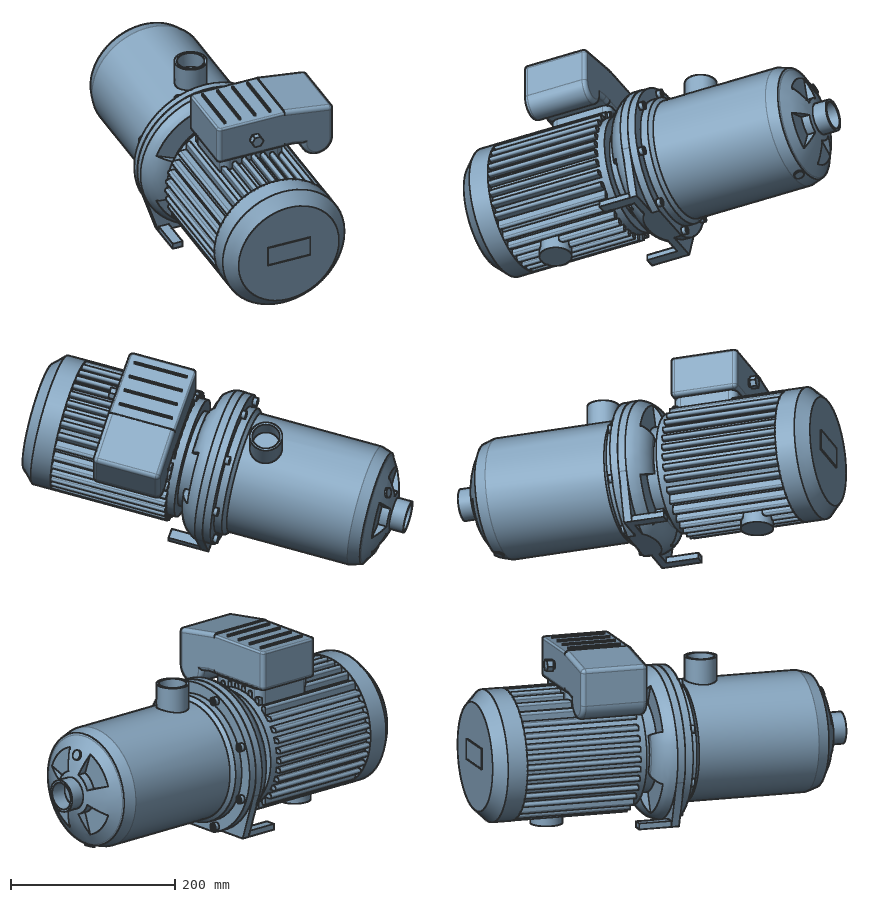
import cadquery as cq
import math


DISH_X = 16.0
DISH_POCKET_X = 30.5
DISH_END_X = 39.0
RIM_X = 39.5
CASING_X = 54.5
COLLAR_X = 208.0
COLLAR_FULL_X = 213.0
FLANGE_X = 223.0
PLATE_X = 232.5
LANTERN_X = 242.5
LANTERN_POCKET_X = 257.0
LANTERN_END_X = 267.2
MOTOR_X = 275.5
FIN_X = 285.0
COVER_X = 431.5
COVER_TAPER_X = 456.5
COVER_END_X = 471.5
TOTAL_LENGTH = 473.0

HUB_R = 27.0
DISH_R = 136.0 / 2
RIM_R = 70.5
CASING_R = 150.0 / 2
COLLAR_R = 160.0 / 2
FLANGE_R = 94.5
PLATE_R = 95.0
LANTERN_END_R = 66.5
NECK_R = 120.0 / 2
MOTOR_CORE_R = 148.0 / 2
MOTOR_R = 163.0 / 2
COVER_END_R = 67.0

DISH_SPHERE_R = 113.5
LANTERN_ARC_POINT = (258.3, 85.0)
DISH_POCKET_ANGLE = 50.0
LANTERN_POCKET_ANGLE = 45.0

PORT_R = 39.5 / 2
PORT_BORE_R = 33.5 / 2
PORT_BORE_DEPTH = 20.0
OUTLET_X = 181.0
OUTLET_TOP_Z = 104.0
PLUG_R = 6.0
PLUG_LENGTH = 7.0
PLUG_RAISE = 2.0
VENT_POINT = (26.0, 47.0)
VENT_TILT = 22.0
DRAIN_POINT = (47.0, -73.0)
DRAIN_TILT = -73.0

BASE_Z = -90.0
FOOT_HALF_WIDTH = 70.5
LEG_WIDTH = 13.2
LEG_THICKNESS = 7.5
LEG_END_X = 284.0
PAD_X = 380.0

FIN_PITCH = 12.45
FIN_WIDTH = 6.0
FINS_EACH_SIDE = 4

BADGE_WIDTH = 56.8
BADGE_HEIGHT = 25.5
BADGE_Z = 3.5

BOX_X0 = 284.7
BOX_X1 = 370.0
BOX_Y0 = -48.5
BOX_SPLIT_Y = 40.5
BOX_BOTTOM_Z = 82.0
BOX_TOP_Z = 132.5
BOX_FILLET = 5.0
BOX_TOP_FILLET = 2.5
LID_PEAK_Z = 134.5
LID_END_Y = 106.0
LID_END_Z = 125.0
POUCH_INNER_Y = 65.0
POUCH_Z = 79.5
UNDERSIDE_BEND_Y = 52.0
PEDESTAL_X0 = 285.5
PEDESTAL_X1 = 366.5
PEDESTAL_HALF_Y = 41.0
PEDESTAL_FILLET = 9.5
RIB_X0 = 293.3
RIB_X1 = 360.5
RIB_WIDTH = 2.0
RIB_COUNT = 4
RIB_PITCH = 20.1
RIB_FIRST_Y = -35.0
GLAND_Z = 107.5
GLAND_NECK_R = 10.0 / 2
GLAND_HEAD_X = 372.3
GLAND_END_X = 380.5
GLAND_ACROSS_FLATS = 13.2

SCREW_COUNT = 8
SCREW_CIRCLE_R = 87.5
SCREW_HEAD_R = 10.0 / 2
SCREW_HEAD_HEIGHT = 5.5
SOCKET_ACROSS_CORNERS = 5.5
SOCKET_DEPTH = 3.0


def disc(x0, x1, radius):
    """Solid cylinder about the shaft axis from x0 to x1."""
    return cq.Workplane("YZ").workplane(offset=x0).circle(radius).extrude(x1 - x0)


def block(x0, x1, y0, y1, z0, z1):
    """Box between the given limits."""
    return cq.Workplane("XY").box(x1 - x0, y1 - y0, z1 - z0, centered=False).translate((x0, y0, z0))


def polar(radius, degrees):
    """Point at a radius and an angle."""
    angle = math.radians(degrees)
    return radius * math.cos(angle), radius * math.sin(angle)


def diagonal_pockets(x0, x1, inner_r, outer_r, angle):
    """Four ring sectors, centred on the diagonals, from x0 to x1."""
    pockets = cq.Workplane("YZ")
    for middle in (45, 135, 225, 315):
        start = middle - angle / 2
        end = middle + angle / 2
        sector = (
            cq.Workplane("YZ").workplane(offset=x0)
            .moveTo(*polar(inner_r, start))
            .lineTo(*polar(outer_r, start))
            .threePointArc(polar(outer_r, middle), polar(outer_r, end))
            .lineTo(*polar(inner_r, end))
            .threePointArc(polar(inner_r, middle), polar(inner_r, start))
            .close()
            .extrude(x1 - x0)
        )
        pockets = pockets.add(sector)
    return pockets.combine()


def make_plug(point, tilt):
    """Round plug in the X-Z plane, standing PLUG_RAISE above the given surface point."""
    across, up = polar(1, tilt)
    direction = cq.Vector(-across, 0, up)
    face_centre = cq.Vector(point[0], 0, point[1]) + direction * PLUG_RAISE
    return cq.Workplane(obj=cq.Solid.makeCylinder(PLUG_R, PLUG_LENGTH, face_centre, direction * -1))


def make_casing():
    """Dished casing with its collar, flange, ports and plugs."""
    arc_r = DISH_R / 2
    arc_x = DISH_X + DISH_SPHERE_R - math.sqrt(DISH_SPHERE_R**2 - arc_r**2)
    body = (
        cq.Workplane("XY")
        .moveTo(DISH_X, 0)
        .threePointArc((arc_x, arc_r), (DISH_END_X, DISH_R))
        .lineTo(RIM_X, RIM_R)
        .lineTo(CASING_X, CASING_R)
        .lineTo(COLLAR_X, CASING_R)
        .lineTo(COLLAR_FULL_X, COLLAR_R)
        .lineTo(FLANGE_X, COLLAR_R)
        .lineTo(FLANGE_X, FLANGE_R)
        .lineTo(PLATE_X, FLANGE_R)
        .lineTo(PLATE_X, 0)
        .close()
        .revolve(360, (0, 0, 0), (1, 0, 0))
    )
    body = body.cut(diagonal_pockets(0, DISH_POCKET_X, HUB_R, DISH_R, DISH_POCKET_ANGLE))
    inlet = disc(0, DISH_POCKET_X, PORT_R)
    outlet = cq.Workplane("XY").center(OUTLET_X, 0).circle(PORT_R).extrude(OUTLET_TOP_Z)
    inlet_bore = disc(0, PORT_BORE_DEPTH, PORT_BORE_R)
    outlet_bore = (
        cq.Workplane("XY").workplane(offset=OUTLET_TOP_Z).center(OUTLET_X, 0)
        .circle(PORT_BORE_R).extrude(-PORT_BORE_DEPTH)
    )
    body = body.union(inlet).union(outlet).cut(inlet_bore).cut(outlet_bore)
    return body.union(make_plug(VENT_POINT, VENT_TILT)).union(make_plug(DRAIN_POINT, DRAIN_TILT))


def make_foot():
    """Round plate with tangent sides running down to the base, and two legs."""
    corner_distance = math.hypot(FOOT_HALF_WIDTH, BASE_Z)
    corner_angle = math.degrees(math.atan2(BASE_Z, FOOT_HALF_WIDTH))
    tangent_angle = corner_angle + math.degrees(math.acos(PLATE_R / corner_distance))
    tangent_y, tangent_z = polar(PLATE_R, tangent_angle)
    foot = (
        cq.Workplane("YZ").workplane(offset=PLATE_X)
        .moveTo(-FOOT_HALF_WIDTH, BASE_Z)
        .lineTo(FOOT_HALF_WIDTH, BASE_Z)
        .lineTo(tangent_y, tangent_z)
        .threePointArc((0, PLATE_R), (-tangent_y, tangent_z))
        .close()
        .extrude(LANTERN_X - PLATE_X)
    )
    for inner_y in (-FOOT_HALF_WIDTH, FOOT_HALF_WIDTH - LEG_WIDTH):
        leg = block(PLATE_X, LEG_END_X, inner_y, inner_y + LEG_WIDTH, BASE_Z, BASE_Z + LEG_THICKNESS)
        foot = foot.union(leg)
    return foot


def make_lantern():
    """Domed lantern with four pockets around its neck."""
    dome = (
        cq.Workplane("XY")
        .moveTo(LANTERN_X, 0)
        .lineTo(LANTERN_X, PLATE_R)
        .threePointArc(LANTERN_ARC_POINT, (LANTERN_END_X, LANTERN_END_R))
        .lineTo(LANTERN_END_X, 0)
        .close()
        .revolve(360, (0, 0, 0), (1, 0, 0))
    )
    pockets = diagonal_pockets(LANTERN_POCKET_X, MOTOR_X, NECK_R / 2, PLATE_R, LANTERN_POCKET_ANGLE)
    return dome.cut(pockets).union(disc(LANTERN_X, MOTOR_X, NECK_R))


def make_fin_pair(offset):
    """Horizontal and vertical slab through the motor at an offset, with round tips touching MOTOR_R."""
    tip_r = FIN_WIDTH / 2
    length = 2 * (math.sqrt((MOTOR_R - tip_r) ** 2 - offset**2) + tip_r)
    workplane = cq.Workplane("YZ").workplane(offset=FIN_X)
    horizontal = workplane.center(0, offset).slot2D(length, FIN_WIDTH).extrude(COVER_X - FIN_X)
    vertical = workplane.center(offset, 0).slot2D(length, FIN_WIDTH, 90).extrude(COVER_X - FIN_X)
    return horizontal.union(vertical)


def make_motor():
    """Finned motor with its fan cover, end plate and support pad."""
    motor = disc(MOTOR_X, COVER_X, MOTOR_CORE_R)
    for i in range(-FINS_EACH_SIDE, FINS_EACH_SIDE + 1):
        motor = motor.union(make_fin_pair(i * FIN_PITCH))
    cover = (
        cq.Workplane("XY")
        .moveTo(COVER_X, 0)
        .lineTo(COVER_X, MOTOR_R)
        .lineTo(COVER_TAPER_X, MOTOR_R)
        .lineTo(COVER_END_X, COVER_END_R)
        .lineTo(COVER_END_X, 0)
        .close()
        .revolve(360, (0, 0, 0), (1, 0, 0))
    )
    badge = block(
        COVER_END_X, TOTAL_LENGTH, -BADGE_WIDTH / 2, BADGE_WIDTH / 2,
        BADGE_Z - BADGE_HEIGHT / 2, BADGE_Z + BADGE_HEIGHT / 2,
    )
    pad = cq.Workplane("XY").workplane(offset=BASE_Z).center(PAD_X, 0).circle(PORT_R).extrude(-BASE_Z)
    return motor.union(cover).union(badge).union(pad)


def make_box_pouch():
    """Sloping half of the terminal box, with the round pouch below its outer end."""
    pouch_r = (LID_END_Y - POUCH_INNER_Y) / 2
    pouch_middle_y = (LID_END_Y + POUCH_INNER_Y) / 2
    pouch = (
        cq.Workplane("YZ").workplane(offset=BOX_X0)
        .moveTo(BOX_SPLIT_Y, BOX_BOTTOM_Z)
        .lineTo(UNDERSIDE_BEND_Y, BOX_BOTTOM_Z)
        .lineTo(POUCH_INNER_Y, POUCH_Z)
        .threePointArc((pouch_middle_y, POUCH_Z - pouch_r), (LID_END_Y, POUCH_Z))
        .lineTo(LID_END_Y, LID_END_Z)
        .lineTo(BOX_SPLIT_Y, LID_PEAK_Z)
        .close()
        .extrude(BOX_X1 - BOX_X0)
    )
    side_edges = pouch.faces("<X or >X").edges("not <Y")
    return side_edges.add(pouch.edges("|X").edges(">(0, 1, 1)")).fillet(BOX_FILLET)


def make_terminal_box():
    """Terminal box with its pedestal, lid ribs and cable gland."""
    flat_half = block(BOX_X0, BOX_X1, BOX_Y0, BOX_SPLIT_Y, BOX_BOTTOM_Z, BOX_TOP_Z)
    flat_half = flat_half.edges("|Z and <Y").fillet(BOX_FILLET)
    flat_half = flat_half.faces(">Z").edges("not >Y").fillet(BOX_TOP_FILLET)
    flat_half = flat_half.faces("<Z").edges("not >Y").fillet(BOX_FILLET * 0.9)
    pedestal = block(
        PEDESTAL_X0, PEDESTAL_X1, -PEDESTAL_HALF_Y, PEDESTAL_HALF_Y, 0, BOX_BOTTOM_Z
    ).edges("|Z").fillet(PEDESTAL_FILLET)
    box = flat_half.union(make_box_pouch()).union(pedestal)
    for i in range(RIB_COUNT):
        rib_y = RIB_FIRST_Y + i * RIB_PITCH
        rib = block(
            RIB_X0, RIB_X1, rib_y - RIB_WIDTH / 2, rib_y + RIB_WIDTH / 2, BOX_TOP_Z, LID_PEAK_Z
        )
        box = box.union(rib)
    gland_neck = disc(BOX_X1, GLAND_HEAD_X, GLAND_NECK_R)
    gland_head = (
        cq.Workplane("YZ").workplane(offset=GLAND_HEAD_X)
        .polygon(6, GLAND_ACROSS_FLATS / math.cos(math.pi / 6))
        .extrude(GLAND_END_X - GLAND_HEAD_X)
    )
    return box.union(gland_neck.union(gland_head).translate((0, 0, GLAND_Z)))


def make_pump():
    """The whole pump apart from the flange screws, cut level at the base."""
    pump = make_casing().union(make_foot()).union(make_lantern()).union(make_motor())
    pump = pump.union(make_terminal_box())
    below_base = block(0, TOTAL_LENGTH, -FLANGE_R, FLANGE_R, -2 * FLANGE_R, BASE_Z)
    return pump.cut(below_base)


def make_screw(angle):
    """Socket-head screw seated on the flange at the given angle."""
    head = disc(FLANGE_X - SCREW_HEAD_HEIGHT, FLANGE_X, SCREW_HEAD_R)
    socket = (
        cq.Workplane("YZ").workplane(offset=FLANGE_X - SCREW_HEAD_HEIGHT)
        .polygon(6, SOCKET_ACROSS_CORNERS)
        .extrude(SOCKET_DEPTH)
    )
    y, z = polar(SCREW_CIRCLE_R, angle)
    return head.cut(socket).translate((0, y, z))


pump = make_pump()
screw_step = 360 / SCREW_COUNT
screws = [make_screw((i + 0.5) * screw_step) for i in range(SCREW_COUNT)]

result = cq.Compound.makeCompound([pump.val(), *[screw.val() for screw in screws]])